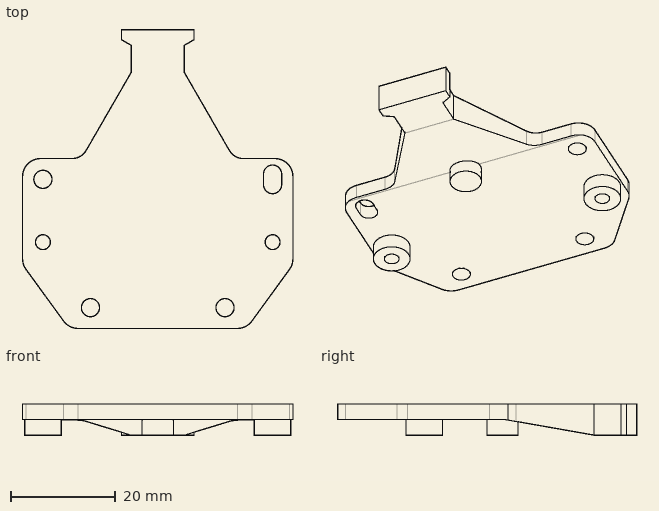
import cadquery as cq
import math

length = 57.15
width = 51.7
height = 6.0
plate_thickness = height / 2
plate_bottom = height - plate_thickness

corner_radius = 3.5
inner_corner_radius = 3.05
shoulder_y = 32.5
side_corner_y = 12.25
bottom_half_width = 17.0
head_half_width = 7.0
neck_half_width = 5.1
head_edge_length = 1.95
head_length = 3.05
neck_start_y = 49.0
taper_angle = 30.0
shoulder_half_width = neck_half_width + (neck_start_y - shoulder_y) * math.tan(math.radians(taper_angle))

ramp_angle = 10.0
ramp_end_y = neck_start_y - plate_bottom / math.tan(math.radians(ramp_angle))

side_hole_x = 21.95
large_hole_diameter = 3.45
upper_hole_y = 28.5
slot_length = 5.45
lower_hole_x = 12.85
lower_hole_y = 4.0
boss_y = 16.5
boss_diameter = 7.05
boss_hole_diameter = 2.8
center_boss_y = 31.5
center_boss_diameter = 6.0


def round_corners(body, corner, radius):
    """Round the vertical edge at a corner and its mirror image across X = 0."""
    for side in (-1, 1):
        edge_middle = (side * corner[0], corner[1], height / 2)
        body = body.edges(cq.selectors.NearestToPointSelector(edge_middle)).fillet(radius)
    return body


def outline_body():
    """Full-height body with the six outer plate corners and two inner corners rounded."""
    right_outer = [
        (bottom_half_width, 0),
        (width / 2, side_corner_y),
        (width / 2, shoulder_y),
    ]
    right_inner = [
        (shoulder_half_width, shoulder_y),
        (neck_half_width, neck_start_y),
        (neck_half_width, length - head_length),
        (head_half_width, length - head_edge_length),
        (head_half_width, length),
    ]
    right_side = right_outer + right_inner
    left_side = [(-x, y) for x, y in reversed(right_side)]
    body = cq.Workplane("XY").polyline(right_side + left_side).close().extrude(height)

    body = round_corners(body, (shoulder_half_width, shoulder_y), inner_corner_radius)
    for corner in right_outer:
        body = round_corners(body, corner, corner_radius)
    return body


def underside_cut():
    """Space below the thin plate and below the sloping ramp."""
    profile = [(0, 0), (neck_start_y, 0), (ramp_end_y, plate_bottom), (0, plate_bottom)]
    return cq.Workplane("YZ").polyline(profile).close().extrude(width / 2, both=True)


def cylinder(x, y, diameter):
    """Full-height vertical cylinder standing on the lowest plane of the part."""
    return cq.Workplane("XY").center(x, y).circle(diameter / 2).extrude(height)


result = outline_body().cut(underside_cut())

result = result.union(cylinder(0, center_boss_y, center_boss_diameter))
for side in (-1, 1):
    result = result.union(cylinder(side * side_hole_x, boss_y, boss_diameter))

for side in (-1, 1):
    result = result.cut(cylinder(side * side_hole_x, boss_y, boss_hole_diameter))
    result = result.cut(cylinder(side * lower_hole_x, lower_hole_y, large_hole_diameter))

result = result.cut(cylinder(-side_hole_x, upper_hole_y, large_hole_diameter))
slot = (
    cq.Workplane("XY")
    .center(side_hole_x, upper_hole_y)
    .slot2D(slot_length, large_hole_diameter, 90)
    .extrude(height)
)
result = result.cut(slot)